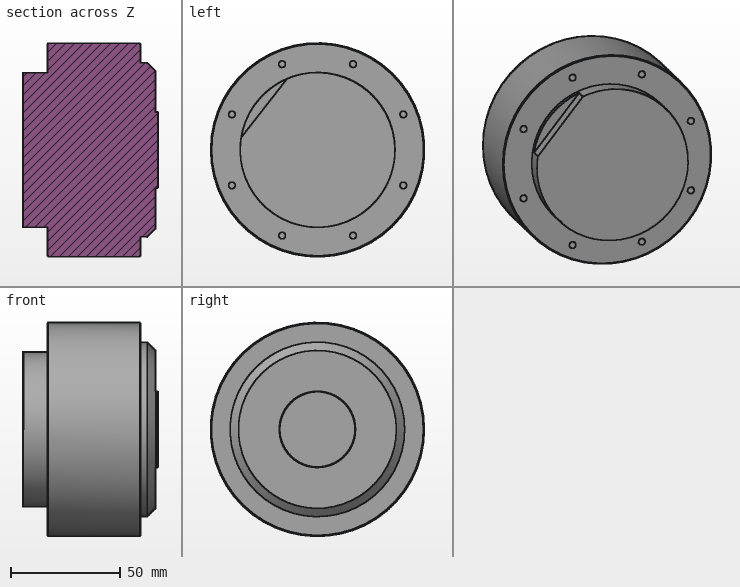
import cadquery as cq

pilot_length = 11.2
body_length = 42.7
collar_length = 6.9
hub_length = 1.2

body_diameter = 98
pilot_diameter = 71.0
collar_diameter = 80.0
hub_diameter = 35.0

body_chamfer = 0.5
collar_chamfer = 3.8
hub_chamfer = 0.3
pilot_chamfer_length = 0.3
pilot_chamfer_depth = 0.1

flat_length = 8.0
flat_distance = 31.1
flat_angle = 38

hole_count = 8
hole_diameter = 3.0
hole_depth = 10.0
hole_circle_diameter = 85.0

body_front = pilot_length
body_back = body_front + body_length
collar_back = body_back + collar_length


def disc(start, length, diameter):
    """Solid disc on the X axis, growing towards +X from x = start."""
    return cq.Workplane("YZ", origin=(start, 0, 0)).circle(diameter / 2).extrude(length)


def pilot_chamfer_cutter():
    """Triangular ring sector that bevels the pilot's front rim from +Z round to -Y."""
    rim_radius = pilot_diameter / 2
    return (
        cq.Workplane("XZ")
        .moveTo(0, rim_radius - pilot_chamfer_depth)
        .lineTo(pilot_chamfer_length, rim_radius)
        .lineTo(0, rim_radius)
        .close()
        .revolve(90, (0, 0, 0), (1, 0, 0))
    )


def make_pilot():
    """Front spigot with a bevelled quarter rim and one flat that stops short of the body."""
    flat_cutter = (
        cq.Workplane("XY")
        .box(flat_length, pilot_diameter, pilot_diameter, centered=(False, False, True))
        .translate((0, flat_distance, 0))
        .rotate((0, 0, 0), (1, 0, 0), flat_angle)
    )
    return disc(0, pilot_length, pilot_diameter).cut(flat_cutter).cut(pilot_chamfer_cutter())


def make_body():
    """Main drum, chamfered on both rims, with a ring of blind holes in its front face."""
    holes = (
        cq.Workplane("YZ", origin=(body_front, 0, 0))
        .polarArray(hole_circle_diameter / 2, 180 / hole_count, 360, hole_count)
        .circle(hole_diameter / 2)
        .extrude(hole_depth)
    )
    return disc(body_front, body_length, body_diameter).edges().chamfer(body_chamfer).cut(holes)


def make_collar():
    """Rear collar with a wide chamfer on its outer rim."""
    return disc(body_back, collar_length, collar_diameter).edges(">X").chamfer(collar_chamfer)


def make_hub():
    """Thin disc at the centre of the rear face."""
    return disc(collar_back, hub_length, hub_diameter).edges(">X").chamfer(hub_chamfer)


result = make_pilot().union(make_body()).union(make_collar()).union(make_hub())